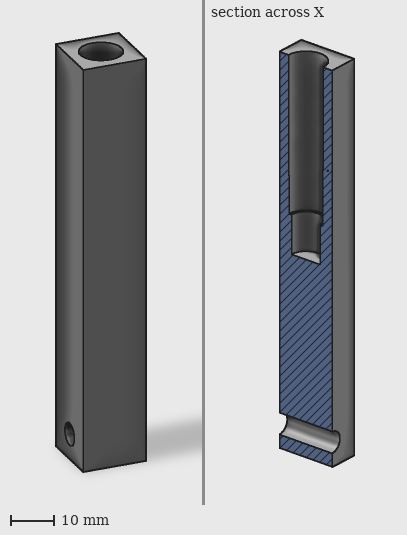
import cadquery as cq

bar_width = 15.8
bar_depth = 15.7
bar_length = 101.6

mouth_diameter = 10.3
seat_diameter = 10.0
socket_depth = 40.6
pilot_diameter = 8.4
bore_depth = 50.8

pin_diameter = 5.5
pin_height = 6.3


def make_bar():
    return cq.Workplane("XY").box(bar_width, bar_depth, bar_length, centered=(True, True, False))


def make_bore():
    """Half section of the bore, revolved about the bar axis."""
    seat_height = bar_length - socket_depth
    floor_height = bar_length - bore_depth
    return (
        cq.Workplane("XZ")
        .moveTo(0, bar_length)
        .lineTo(mouth_diameter / 2, bar_length)
        .lineTo(seat_diameter / 2, seat_height)
        .lineTo(pilot_diameter / 2, seat_height)
        .lineTo(pilot_diameter / 2, floor_height)
        .lineTo(0, floor_height)
        .close()
        .revolve(360, (0, 0), (0, 1))
    )


def make_pin_hole():
    return (
        cq.Workplane("XZ")
        .center(0, pin_height)
        .circle(pin_diameter / 2)
        .extrude(bar_depth, both=True)
    )


result = make_bar().cut(make_bore()).cut(make_pin_hole())